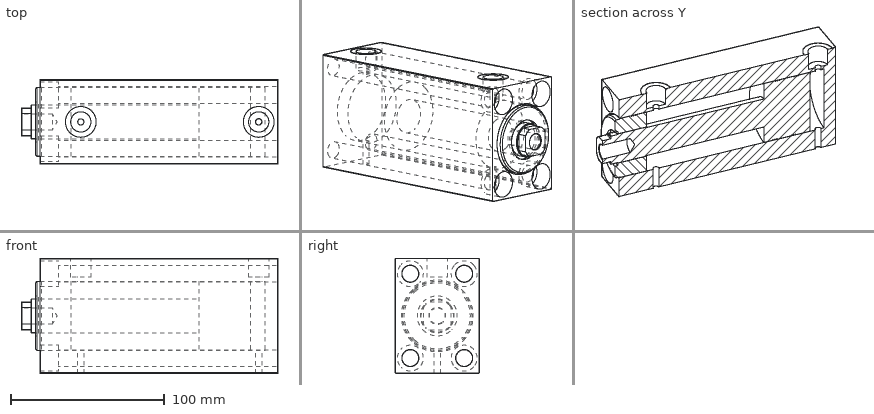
import cadquery as cq
import math


total_length = 167.0
block_length = 155.0
block_width = 55.0
block_height = 75.0
edge_chamfer = 0.5

mount_spacing_y = 35.0
mount_spacing_z = 55.0
mount_diameter = 10.9
mount_head_diameter = 16.9
mount_head_depth = 12.0

bore_diameter = 45.1
bore_end_wall = 8.4
mouth_chamfer = 0.8

front_port_x = 26.5
rear_port_x = block_length - 12.5
port_diameter = 13.2
port_depth = 12.0
port_face_diameter = 20.0
port_face_depth = 0.2
oil_hole_diameter = 4.0

gland_protrusion = 3.0
gland_end_x = 20.0
gland_chamfer = 1.0
wiper_recess_diameter = 26.0
wiper_recess_depth = 2.0

rod_diameter = 22.0
rod_chamfer = 0.5
rod_tip_x = block_length - total_length
flats_length = 6.0
across_flats = 18.0
shoulder_x = rod_tip_x + flats_length
piston_start_x = 103.5
piston_end_x = 137.0
tapped_hole_diameter = 10.4
tapped_hole_depth = 20.0
tapped_hole_chamfer = 0.3
drill_point_angle = 118.0


def rod_along_x(diameter, start_x, end_x):
    """Solid cylinder on the X axis."""
    return cq.Workplane("YZ", origin=(start_x, 0, 0)).circle(diameter / 2).extrude(end_x - start_x)


def cone_along_x(start_diameter, end_diameter, start_x, end_x):
    """Solid cone or truncated cone on the X axis."""
    direction = cq.Vector(1, 0, 0)
    start = cq.Vector(start_x, 0, 0)
    cone = cq.Solid.makeCone(start_diameter / 2, end_diameter / 2, end_x - start_x, start, direction)
    return cq.Workplane(cone)


def cut_mounting_holes(block):
    """Four through holes with deep counterbores in the front face."""
    return (
        block.faces("<X").workplane()
        .rarray(mount_spacing_y, mount_spacing_z, 2, 2)
        .cboreHole(mount_diameter, mount_head_diameter, mount_head_depth)
    )


def cut_bore(block):
    """Blind bore from the front, with a chamfered mouth."""
    bore = rod_along_x(bore_diameter, 0, block_length - bore_end_wall)
    mouth = cone_along_x(bore_diameter + 2 * mouth_chamfer, bore_diameter, 0, mouth_chamfer)
    return block.cut(bore).cut(mouth)


def cut_port(block, port_x):
    """Flat-bottomed port in a shallow spot face, with an oil hole through the housing."""
    top = cq.Workplane("XY", origin=(port_x, 0, block_height / 2))
    spot_face = top.circle(port_face_diameter / 2).extrude(-port_face_depth)
    port = top.circle(port_diameter / 2).extrude(-port_depth)
    oil_hole = top.circle(oil_hole_diameter / 2).extrude(-block_height)
    return block.cut(spot_face).cut(port).cut(oil_hole)


def make_housing():
    block = (
        cq.Workplane("YZ").rect(block_width, block_height).extrude(block_length)
        .edges("|X").chamfer(edge_chamfer)
    )
    block = cut_mounting_holes(block)
    block = cut_bore(block)
    for port_x in (front_port_x, rear_port_x):
        block = cut_port(block, port_x)
    return block


def make_gland():
    """Ring that closes the bore and guides the rod."""
    front_x = -gland_protrusion
    gland = rod_along_x(bore_diameter, front_x, gland_end_x).faces("<X").chamfer(gland_chamfer)
    rod_hole = rod_along_x(rod_diameter, front_x, gland_end_x)
    wiper_recess = rod_along_x(wiper_recess_diameter, front_x, front_x + wiper_recess_depth)
    return gland.cut(rod_hole).cut(wiper_recess)


def make_rod_tip():
    """Square wrench end with corners rounded to the chamfered end of the rod."""
    corner_diameter = rod_diameter - 2 * rod_chamfer
    square = cq.Workplane("YZ", origin=(rod_tip_x, 0, 0)).rect(across_flats, across_flats).extrude(flats_length)
    return square.intersect(rod_along_x(corner_diameter, rod_tip_x, shoulder_x))


def make_tapped_hole():
    """Blind drilled hole in the rod tip, with a chamfered mouth and a conical end."""
    drill_end_x = rod_tip_x + tapped_hole_depth
    point_length = tapped_hole_diameter / 2 / math.tan(math.radians(drill_point_angle / 2))
    mouth_diameter = tapped_hole_diameter + 2 * tapped_hole_chamfer
    drilled = rod_along_x(tapped_hole_diameter, rod_tip_x, drill_end_x)
    point = cone_along_x(tapped_hole_diameter, 0, drill_end_x, drill_end_x + point_length)
    mouth = cone_along_x(mouth_diameter, tapped_hole_diameter, rod_tip_x, rod_tip_x + tapped_hole_chamfer)
    return drilled.union(point).union(mouth)


def make_piston_rod():
    shank = rod_along_x(rod_diameter, shoulder_x, piston_end_x).faces("<X").chamfer(rod_chamfer)
    piston = rod_along_x(bore_diameter, piston_start_x, piston_end_x)
    return shank.union(piston).union(make_rod_tip()).cut(make_tapped_hole())


housing = make_housing()
gland = make_gland()
piston_rod = make_piston_rod()

result = cq.Compound.makeCompound([housing.val(), gland.val(), piston_rod.val()])